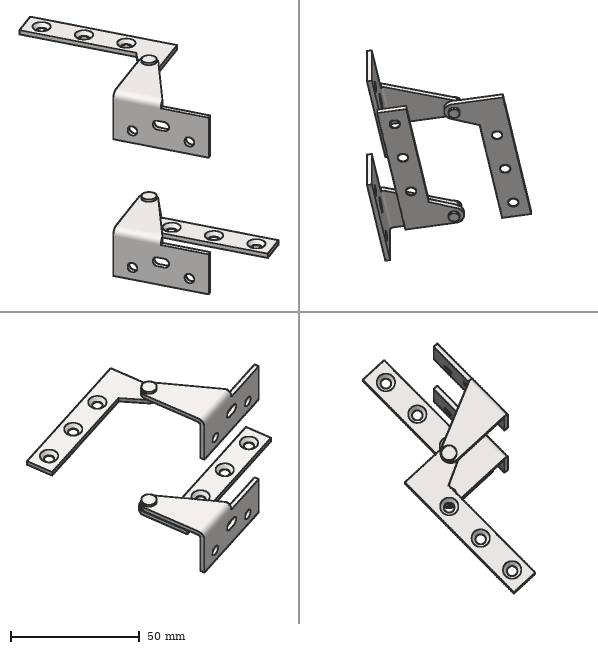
import cadquery as cq
import math


hinge_spacing = 61.1
sheet = 2.0

plate_width = 39.9
tab_width = 19.9
tab_end_radius = 4.0
bracket_height = 20.9
bend_inner_radius = 1.0
bend_outer_radius = bend_inner_radius + sheet
tab_bottom = bracket_height - sheet
plate_top = bracket_height - bend_outer_radius
tab_end_y = 27.0

plate_hole_diameter = 4.0
plate_hole_spacing = 23.8
plate_hole_z = 5.4
slot_length = 6.8
slot_height = 3.9
slot_z = 10.1

pivot_x = tab_end_radius
pivot_y = 28.0
head_diameter = 6.0
head_height = 1.0
stub_diameter = 4.4
stub_projection = 1.2
arm_gap = 0.5
arm_top = tab_bottom - arm_gap
arm_bottom = arm_top - sheet

arm_end_radius = 3.9
strip_back = 20.0
strip_width = 11.5
strip_left = -57.5
strip_right = arm_end_radius
neck_corner_x = -8.6
strip_front = strip_back - strip_width

screw_hole_diameter = 4.0
countersink_diameter = 7.1
countersink_angle = 90
screw_hole_count = 3
screw_hole_spacing = 17.7
first_hole_inset = 7.0
first_hole_x = strip_left + first_hole_inset
screw_hole_y = strip_back - strip_width / 2


def tangent_angle(corner, centre, radius):
    """Angle, about the circle centre, where a line from corner touches the circle.

    Of the two touching points this is the counterclockwise one as seen from the corner direction.
    """
    dx = corner[0] - centre[0]
    dy = corner[1] - centre[1]
    return math.atan2(dy, dx) + math.acos(radius / math.hypot(dx, dy))


def on_circle(centre, radius, angle):
    """Point of a circle at the given angle from +X."""
    return (centre[0] + radius * math.cos(angle), centre[1] + radius * math.sin(angle))


def make_tab_outline():
    """Plan of the tab: straight on the left, rounded at the pivot, slanted on the right."""
    centre = (tab_end_radius, tab_end_y)
    slant_start = (tab_width, sheet)
    touch_angle = tangent_angle(slant_start, centre, tab_end_radius)
    middle_angle = (touch_angle + math.pi) / 2
    return (
        cq.Workplane("XY")
        .moveTo(0, 0)
        .lineTo(tab_width, 0)
        .lineTo(*slant_start)
        .lineTo(*on_circle(centre, tab_end_radius, touch_angle))
        .threePointArc(on_circle(centre, tab_end_radius, middle_angle), (0, tab_end_y))
        .close()
        .extrude(bracket_height)
    )


def make_bent_tab():
    """Tab and bend, cut from an L-shaped sheet profile by the tab outline."""
    tab_reach = tab_end_y + tab_end_radius
    profile = (
        cq.Workplane("YZ")
        .moveTo(0, plate_top)
        .radiusArc((bend_outer_radius, bracket_height), bend_outer_radius)
        .lineTo(tab_reach, bracket_height)
        .lineTo(tab_reach, tab_bottom)
        .lineTo(bend_outer_radius, tab_bottom)
        .radiusArc((sheet, plate_top), -bend_inner_radius)
        .close()
        .extrude(tab_width)
    )
    return profile.intersect(make_tab_outline())


def make_plate():
    """Upright mounting plate with two round holes and a slot."""
    plate = cq.Workplane("XY").box(plate_width, sheet, plate_top, centered=False)
    middle_x = plate_width / 2
    holes = (
        cq.Workplane("XZ")
        .pushPoints([(middle_x + side * plate_hole_spacing / 2, plate_hole_z) for side in (-1, 1)])
        .circle(plate_hole_diameter / 2)
        .extrude(-sheet)
    )
    slot = cq.Workplane("XZ").center(middle_x, slot_z).slot2D(slot_length, slot_height).extrude(-sheet)
    return plate.cut(holes).cut(slot)


def make_rivet_section(diameter, bottom, top):
    """Cylinder on the pivot axis between two heights."""
    return (
        cq.Workplane("XY", origin=(pivot_x, pivot_y, bottom))
        .circle(diameter / 2)
        .extrude(top - bottom)
    )


def make_bracket():
    """Plate, bent tab and rivet as one solid."""
    head = make_rivet_section(head_diameter, bracket_height, bracket_height + head_height)
    collar = make_rivet_section(head_diameter, arm_top, tab_bottom)
    stub = make_rivet_section(stub_diameter, arm_bottom - stub_projection, arm_top)
    return make_plate().union(make_bent_tab()).union(head).union(collar).union(stub)


def make_arm():
    """Flat cranked arm, pivot at the origin, underside at Z = 0."""
    pivot = (0, 0)
    neck_corner = (neck_corner_x, strip_front)
    touch_angle = tangent_angle(neck_corner, pivot, arm_end_radius)
    middle_angle = (touch_angle - 2 * math.pi) / 2
    arm = (
        cq.Workplane("XY")
        .moveTo(strip_left, strip_back)
        .lineTo(strip_right, strip_back)
        .lineTo(arm_end_radius, 0)
        .threePointArc(
            on_circle(pivot, arm_end_radius, middle_angle),
            on_circle(pivot, arm_end_radius, touch_angle),
        )
        .lineTo(*neck_corner)
        .lineTo(strip_left, strip_front)
        .close()
        .extrude(sheet)
    )
    pivot_hole = cq.Workplane("XY").circle(stub_diameter / 2).extrude(sheet)
    hole_centres = [(first_hole_x + i * screw_hole_spacing, screw_hole_y) for i in range(screw_hole_count)]
    return (
        arm.cut(pivot_hole)
        .faces(">Z")
        .workplane(origin=(0, 0, sheet))
        .pushPoints(hole_centres)
        .cskHole(screw_hole_diameter, countersink_diameter, countersink_angle)
    )


def place_arm(base_z, swing):
    """Arm turned by swing degrees about the rivet of the hinge based at base_z."""
    turned = make_arm().rotate((0, 0, 0), (0, 0, 1), swing)
    return turned.translate((pivot_x, pivot_y, base_z + arm_bottom))


hinge_bases = [0, hinge_spacing]
arm_swings = [180, 0]

brackets = []
arms = []
for base_z, swing in zip(hinge_bases, arm_swings):
    brackets.append(make_bracket().translate((0, 0, base_z)).val())
    arms.append(place_arm(base_z, swing).val())

result = cq.Compound.makeCompound([*brackets, *arms])